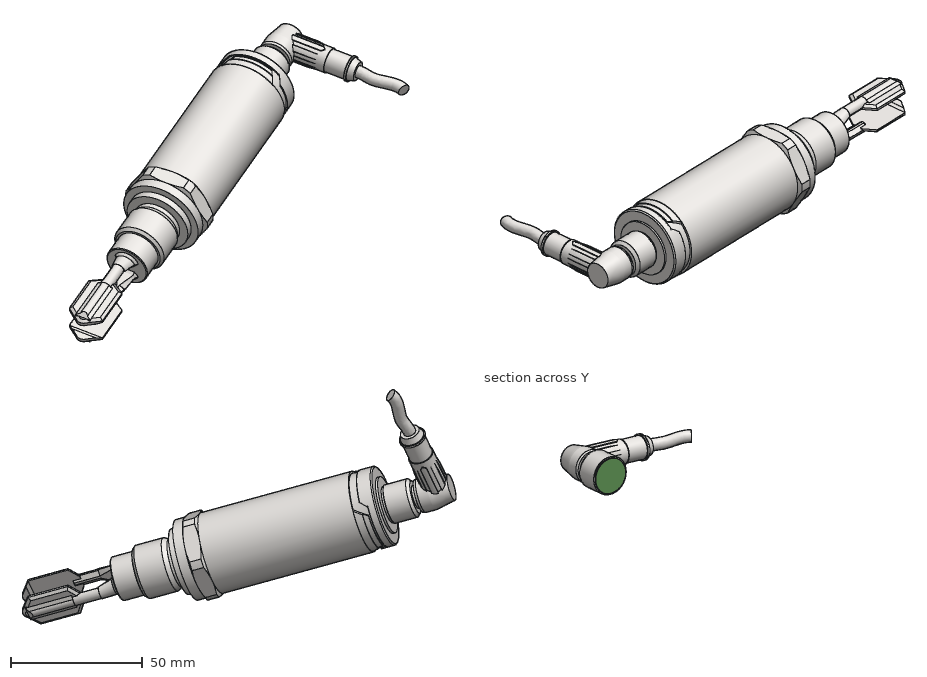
import cadquery as cq
import math

LENGTH = 172.8

BODY_RADIUS = 15.9
CAP_RADIUS = 15.5
CAP_SEAM_RADIUS = 15.0
HEX_START = 70.0
HEX_END = 76.4
HEX_ACROSS_FLATS = 2 * BODY_RADIUS
HEX_CORNER_RADIUS = 17.5
HEX_CHAMFER_RADIAL = 1.7
HEX_CHAMFER_AXIAL = 0.9
COLLAR_START = 66.2
BODY_END = 137.0
CAP_START = 140.1
CAP_NOTCH_TOP = 142.9
CAP_END = 146.1
CAP_EDGE_CHAMFER = 0.5

NOTCH_BASE_HALF = 12.5
NOTCH_TOP_HALF = 10.7
TAB_BASE_HALF = 10.7
TAB_TOP_HALF = 8.0
TAB_RADIUS = 15.7
TAB_TOP = 142.2
TAB_LIP_RADIUS = 15.4
TAB_MIN_Z = 8.6

NOSE_START = 38.2
NOSE_RADIUS = 8.6
NOSE_CHAMFER = 0.3
THREAD_RADIUS = 10.5
THREAD_START = 47.3
THREAD_END = 61.5
THREAD_LEAD_IN = 1.2
THREAD_RUN_OUT = 1.9
THREAD_CHAMFER_RADIAL = 1.0
FLANGE_START = 63.4
FLANGE_RADIUS = 13.0

DISC_RADIUS = 11.0
DISC_END = 147.0
NUT_FOOT_RADIUS = 7.0
NUT_START = 147.9
NUT_RADIUS = 7.6
NUT_END = 158.2
NUT_CHAMFER = 1.2
PLUG_NECK_RADIUS = 4.5
ELBOW_START = 159.6
ELBOW_RADIUS = 6.7
ELBOW_FOOT_CHAMFER_RADIAL = 0.3
ELBOW_FOOT_CHAMFER_AXIAL = 1.0
ELBOW_SHOULDER = 165.0
ELBOW_TAPER_START = 166.0
ELBOW_TAPER_RADIUS = 6.5
ELBOW_TOP_RADIUS = 5.2

ARM_RADIUS = 4.7
GRIP_RADIUS = 5.4
ARM_Y = LENGTH - GRIP_RADIUS
GRIP_TAPER_START = 12.3
GRIP_END = 15.5
SLEEVE_RADIUS = 5.0
SLEEVE_END = 19.3
GRIP_RIBS = 8
GRIP_GROOVE_DEPTH = 0.5
GRIP_GROOVE_WIDTH = 1.7
LONG_RIB_END = 17.5
LONG_RIB_WIDTH = 2.5
ARM_COLLAR_RADIUS = 5.2
ARM_COLLAR_START = 28.0
ARM_COLLAR_END = 28.8
ARM_END = 31.5
ARM_END_RADIUS = 3.8
CABLE_RADIUS = 2.5
CABLE_END_X = 51.3
CABLE_END_ANGLE = 30

TINE_INNER_Z = 3.8
TINE_OUTER_Z = 7.5
STEM_HALF = 2.5
STEM_FLAT_HALF = 0.5
STEM_END = 31.3
FLARE_END = 37.0
FLARE_HALF = 4.0
FLARE_FLAT_HALF = 3.3
FLARE_INNER_Z = 2.5
FLARE_OUTER_Z = 6.4
CONE_TIP_HALF = 2.8
FOOT_HALF = 5.2
FOOT_INNER_Z = 1.5
FOOT_OUTER_Z = 7.3
PADDLE_INNER_Z = 4.3
PADDLE_HALF = 7.0
PADDLE_EDGE_Z = 5.2
PADDLE_FACE_Z = 6.0
PADDLE_BEVEL = 1.2
PADDLE_TIP_HALF = 2.2
PADDLE_TIP_SHOULDER = 1.0
PADDLE_FRONT = 4.7
PADDLE_BACK = 20.7
PADDLE_NECK = 23.8
RIB_BASE_HALF = 3.1
RIB_TOP_HALF = 1.5
RIB_START = 4.0
RIB_SHOULDER_Z = 6.7
RIB_NOSE = 2.0
TIP_TURN_START = 3.1
TIP_TURN_END = 4.7


def turned(points):
    """Solid of revolution about Y from (radius, y) points; the axis closes the outline."""
    outline = [(0, points[0][1])] + points + [(0, points[-1][1])]
    return cq.Workplane("XY").polyline(outline).close().revolve(360, (0, 0, 0), (0, 1, 0))


def trapezoid_block(base_half, top_half, base_y, top_y, side):
    """Trapezoid in XY, extruded through the outer shell on the +Z (1) or -Z (-1) side."""
    corners = [(-base_half, base_y), (base_half, base_y), (top_half, top_y), (-top_half, top_y)]
    return (cq.Workplane("XY").workplane(offset=side * TAB_MIN_Z)
            .polyline(corners).close().extrude(side * BODY_RADIUS))


def process_connection():
    root_radius = THREAD_RADIUS - THREAD_CHAMFER_RADIAL
    return turned([
        (NOSE_RADIUS - NOSE_CHAMFER, NOSE_START),
        (NOSE_RADIUS, NOSE_START + NOSE_CHAMFER),
        (NOSE_RADIUS, THREAD_START),
        (root_radius, THREAD_START),
        (THREAD_RADIUS, THREAD_START + THREAD_LEAD_IN),
        (THREAD_RADIUS, THREAD_END - THREAD_RUN_OUT),
        (root_radius, THREAD_END),
        (root_radius, FLANGE_START),
        (FLANGE_RADIUS, FLANGE_START),
        (FLANGE_RADIUS, COLLAR_START),
    ])


def hexagon():
    across_corners = HEX_ACROSS_FLATS / math.cos(math.pi / 6)
    prism = (cq.Workplane("XZ", origin=(0, HEX_START, 0))
             .polygon(6, across_corners).extrude(HEX_START - HEX_END))
    chamfered = turned([
        (HEX_CORNER_RADIUS - HEX_CHAMFER_RADIAL, HEX_START),
        (HEX_CORNER_RADIUS, HEX_START + HEX_CHAMFER_AXIAL),
        (HEX_CORNER_RADIUS, HEX_END - HEX_CHAMFER_AXIAL),
        (HEX_CORNER_RADIUS - HEX_CHAMFER_RADIAL, HEX_END),
    ])
    return prism.intersect(chamfered)


def housing():
    body = turned([(BODY_RADIUS, COLLAR_START), (BODY_RADIUS, BODY_END)])
    seam = turned([(CAP_SEAM_RADIUS, BODY_END), (CAP_SEAM_RADIUS, CAP_END - CAP_EDGE_CHAMFER)])
    cap = turned([
        (CAP_RADIUS, CAP_START),
        (CAP_RADIUS, CAP_END - CAP_EDGE_CHAMFER),
        (CAP_RADIUS - CAP_EDGE_CHAMFER, CAP_END),
    ])
    tab_shape = turned([
        (TAB_RADIUS, BODY_END),
        (TAB_RADIUS, CAP_START),
        (TAB_LIP_RADIUS, CAP_START),
        (TAB_LIP_RADIUS, TAB_TOP),
    ])
    tabs = []
    for side in (1, -1):
        cap = cap.cut(trapezoid_block(NOTCH_BASE_HALF, NOTCH_TOP_HALF, CAP_START, CAP_NOTCH_TOP, side))
        tab_block = trapezoid_block(TAB_BASE_HALF, TAB_TOP_HALF, BODY_END, TAB_TOP, side)
        tabs.append(tab_shape.intersect(tab_block))
    shell = body.union(seam).union(cap)
    for tab in tabs:
        shell = shell.union(tab)
    return shell.union(hexagon())


def plug():
    return turned([
        (DISC_RADIUS, CAP_END),
        (DISC_RADIUS, DISC_END),
        (NUT_FOOT_RADIUS, DISC_END),
        (NUT_FOOT_RADIUS, NUT_START),
        (NUT_RADIUS, NUT_START),
        (NUT_RADIUS, NUT_END - NUT_CHAMFER),
        (NUT_RADIUS - NUT_CHAMFER, NUT_END),
        (PLUG_NECK_RADIUS, NUT_END),
        (PLUG_NECK_RADIUS, ELBOW_START),
        (ELBOW_RADIUS - ELBOW_FOOT_CHAMFER_RADIAL, ELBOW_START),
        (ELBOW_RADIUS, ELBOW_START + ELBOW_FOOT_CHAMFER_AXIAL),
        (ELBOW_RADIUS, ELBOW_SHOULDER),
        (ELBOW_TAPER_RADIUS, ELBOW_TAPER_START),
        (ELBOW_TOP_RADIUS, LENGTH),
    ])


def turned_arm(points):
    """Solid of revolution about the arm axis from (x, radius) points."""
    rim = [(x, ARM_Y + radius) for x, radius in points]
    outline = [(points[0][0], ARM_Y)] + rim + [(points[-1][0], ARM_Y)]
    return cq.Workplane("XY").polyline(outline).close().revolve(360, (0, ARM_Y, 0), (1, ARM_Y, 0))


def arm_grip():
    grip = turned_arm([
        (0, GRIP_RADIUS),
        (GRIP_TAPER_START, GRIP_RADIUS),
        (GRIP_END, SLEEVE_RADIUS),
    ])
    rib_pitch = 360 / GRIP_RIBS
    groove = (cq.Workplane("XY")
              .box(GRIP_END, GRIP_GROOVE_WIDTH, 2 * GRIP_GROOVE_DEPTH, centered=(False, True, True))
              .translate((0, ARM_Y, GRIP_RADIUS)))
    for index in range(GRIP_RIBS):
        angle = (index + 0.5) * rib_pitch
        grip = grip.cut(groove.rotate((0, ARM_Y, 0), (1, ARM_Y, 0), angle))
    return grip


def long_ribs():
    """Pointed ribs that run past the grip on the +Z and -Z sides."""
    half = LONG_RIB_WIDTH / 2
    outline = [
        (0, ARM_Y - half),
        (LONG_RIB_END - half, ARM_Y - half),
        (LONG_RIB_END, ARM_Y),
        (LONG_RIB_END - half, ARM_Y + half),
        (0, ARM_Y + half),
    ]
    bar = cq.Workplane("XY").polyline(outline).close().extrude(GRIP_RADIUS, both=True)
    envelope = cq.Workplane("YZ", origin=(0, ARM_Y, 0)).circle(GRIP_RADIUS).extrude(LONG_RIB_END)
    return bar.intersect(envelope)


def cable_arm():
    sleeve = turned_arm([
        (0, SLEEVE_RADIUS),
        (SLEEVE_END, SLEEVE_RADIUS),
        (SLEEVE_END, ARM_RADIUS),
        (ARM_COLLAR_START, ARM_RADIUS),
        (ARM_COLLAR_START, ARM_COLLAR_RADIUS),
        (ARM_COLLAR_END, ARM_COLLAR_RADIUS),
        (ARM_COLLAR_END, ARM_RADIUS),
        (ARM_END, ARM_END_RADIUS),
    ])
    return sleeve.union(arm_grip()).union(long_ribs())


def cable():
    end_angle = math.radians(CABLE_END_ANGLE)
    waypoints = [
        (ARM_END, ARM_Y),
        (38.2, ARM_Y - 0.9),
        (47.0, ARM_Y + 0.3),
        (CABLE_END_X, ARM_Y - 0.5),
    ]
    end_directions = [(1, 0), (math.cos(end_angle), -math.sin(end_angle))]
    path = cq.Workplane("XY").spline(waypoints, tangents=end_directions)
    return cq.Workplane("YZ", origin=(ARM_END, ARM_Y, 0)).circle(CABLE_RADIUS).sweep(path)


def d_section(y, half, flat_half, inner_z, outer_z):
    """Wire across the tine at y: flat towards the axis, arched on the outside."""
    spring_z = inner_z + (outer_z - inner_z) / 3
    section = (cq.Workplane("XZ", origin=(0, y, 0))
               .moveTo(-flat_half, inner_z)
               .lineTo(flat_half, inner_z)
               .lineTo(half, spring_z)
               .threePointArc((0, outer_z), (-half, spring_z))
               .close())
    return section.wires().val()


def tapered_root(sections):
    return cq.Workplane(cq.Solid.makeLoft([d_section(*section) for section in sections], True))


def paddle_plate():
    half_outline = [
        (PADDLE_TIP_HALF, PADDLE_TIP_SHOULDER),
        (PADDLE_HALF, PADDLE_FRONT),
        (PADDLE_HALF, PADDLE_BACK),
        (STEM_HALF, PADDLE_NECK),
    ]
    mirrored = [(-x, y) for x, y in reversed(half_outline)]
    plate = (cq.Workplane("XY").workplane(offset=TINE_INNER_Z)
             .polyline(half_outline + mirrored)
             .threePointArc((0, 0), half_outline[0]).close()
             .extrude(PADDLE_FACE_Z - TINE_INNER_Z))
    plate = plate.faces(">Z").chamfer(PADDLE_FACE_Z - PADDLE_EDGE_Z, PADDLE_BEVEL)
    inner_relief = (cq.Workplane("YZ")
                    .polyline([(TIP_TURN_START, TINE_INNER_Z), (TIP_TURN_END, PADDLE_INNER_Z),
                               (PADDLE_NECK, PADDLE_INNER_Z), (PADDLE_NECK, TINE_INNER_Z)])
                    .close().extrude(PADDLE_HALF, both=True))
    return plate.cut(inner_relief)


def paddle_rib():
    ridge = (cq.Workplane("XZ", origin=(0, RIB_NOSE, 0))
             .moveTo(-RIB_BASE_HALF, PADDLE_EDGE_Z)
             .lineTo(RIB_BASE_HALF, PADDLE_EDGE_Z)
             .lineTo(RIB_BASE_HALF, PADDLE_FACE_Z)
             .lineTo(RIB_TOP_HALF, RIB_SHOULDER_Z)
             .threePointArc((0, TINE_OUTER_Z), (-RIB_TOP_HALF, RIB_SHOULDER_Z))
             .lineTo(-RIB_BASE_HALF, PADDLE_FACE_Z)
             .close().extrude(RIB_NOSE - PADDLE_BACK))
    nose_cut = (cq.Workplane("YZ")
                .polyline([(RIB_NOSE, PADDLE_FACE_Z), (RIB_START, TINE_OUTER_Z), (RIB_NOSE, TINE_OUTER_Z)])
                .close().extrude(PADDLE_HALF, both=True))
    return ridge.cut(nose_cut)


def tine():
    """Fork tine on the +Z side."""
    stem = tapered_root([
        (PADDLE_BACK, STEM_HALF, STEM_FLAT_HALF, TINE_INNER_Z, TINE_OUTER_Z),
        (STEM_END, STEM_HALF, STEM_FLAT_HALF, TINE_INNER_Z, TINE_OUTER_Z),
    ])
    cone = tapered_root([
        (STEM_END, CONE_TIP_HALF, STEM_FLAT_HALF, TINE_INNER_Z, TINE_OUTER_Z),
        (FLARE_END, FLARE_HALF, FLARE_FLAT_HALF, FLARE_INNER_Z, FLARE_OUTER_Z),
    ])
    flare = tapered_root([
        (FLARE_END, FLARE_HALF, FLARE_FLAT_HALF, FLARE_INNER_Z, FLARE_OUTER_Z),
        (NOSE_START + NOSE_CHAMFER, FOOT_HALF, FLARE_FLAT_HALF, FOOT_INNER_Z, FOOT_OUTER_Z),
    ])
    return stem.union(cone).union(flare).union(paddle_plate()).union(paddle_rib())


upper_tine = tine()
lower_tine = upper_tine.mirror("XY")

result = process_connection().union(housing()).union(plug())
result = result.union(cable_arm()).union(cable())
result = result.union(upper_tine).union(lower_tine)